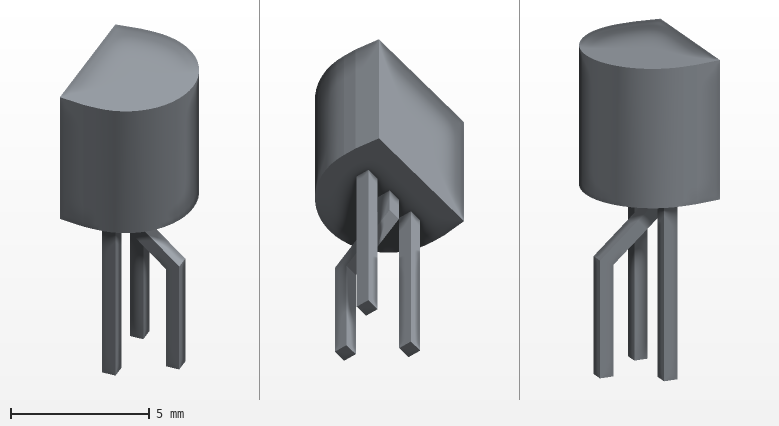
import cadquery as cq
import math

total_height = 12.33
body_height = 5.33
body_width = 5.31
body_depth = 4.15
body_bottom = total_height - body_height
body_radius = body_width / 2

arc_center_x = body_depth - body_radius
taper_end_x = 0.97
flat_half_width = 2.54

lead_depth = 0.53
lead_width = 0.55
lead_pitch = 1.27
lead_front_x = 1.23
lead_back_x = lead_front_x + lead_depth

lead_offset = 1.96
slant_angle = math.radians(41)
lower_top = 4.5
slope = math.tan(slant_angle)
slant_drop = lead_offset * slope
slant_height = lead_depth / math.cos(slant_angle)


def make_body():
    return (
        cq.Workplane("XY", origin=(0, 0, body_bottom))
        .moveTo(0, -flat_half_width)
        .lineTo(taper_end_x, -body_radius)
        .lineTo(arc_center_x, -body_radius)
        .threePointArc((body_depth, 0), (arc_center_x, body_radius))
        .lineTo(taper_end_x, body_radius)
        .lineTo(0, flat_half_width)
        .close()
        .extrude(body_height)
    )


def make_lead(outline, center_y):
    """Extrude an XZ outline symmetrically about center_y."""
    return (
        cq.Workplane("XZ", origin=(0, center_y, 0))
        .polyline(outline)
        .close()
        .extrude(lead_width / 2, both=True)
    )


straight_outline = [
    (lead_front_x, 0),
    (lead_back_x, 0),
    (lead_back_x, body_bottom),
    (lead_front_x, body_bottom),
]

upper_back_z = lower_top + slant_drop
lower_front_z = lower_top + lead_depth * slope - slant_height
bent_outline = [
    (lead_front_x, body_bottom),
    (lead_back_x, body_bottom),
    (lead_back_x, upper_back_z),
    (lead_back_x + lead_offset, lower_top),
    (lead_back_x + lead_offset, 0),
    (lead_front_x + lead_offset, 0),
    (lead_front_x + lead_offset, lower_front_z),
    (lead_front_x, lower_front_z + slant_drop),
]

result = make_body().union(make_lead(bent_outline, 0))
for side in (-1, 1):
    result = result.union(make_lead(straight_outline, side * lead_pitch))